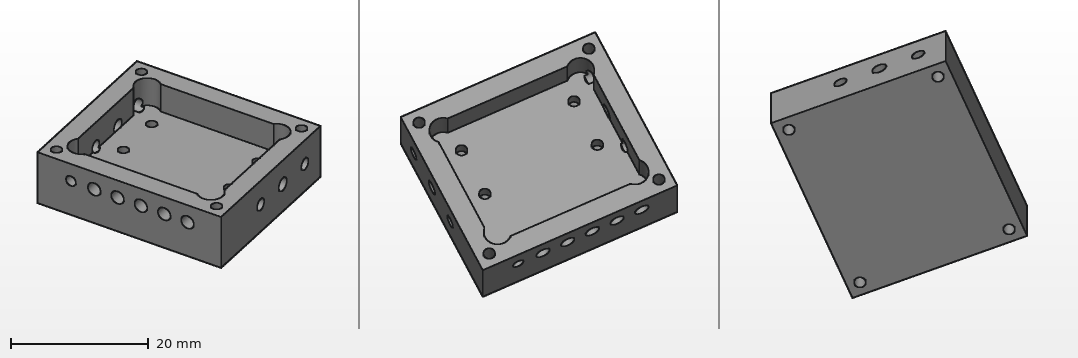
import cadquery as cq
import math

DRILL_TIP_ANGLE = 118.0

LENGTH = 31.4
WIDTH = 27.4
HEIGHT = 9.0

POCKET_LENGTH = 25.0
POCKET_WIDTH = 21.0
FLOOR = 4.18
RELIEF_RADIUS = 2.0

SCREW_HOLE_DIAMETER = 1.7
SCREW_HOLE_INSET = 2.0

PILOT_DIAMETER = 1.7
PILOT_DEPTH = 2.0
PILOT_SPACING = 18.15
PILOT_ROWS_Y = (-0.7, 7.1)

FRONT_HOLE_DIAMETER = 2.17
FRONT_END_HOLE_DIAMETER = 1.7
FRONT_HOLE_COUNT = 6
FRONT_HOLE_PITCH = 4.0
FRONT_HOLE_Z = 6.0

SIDE_HOLE_Z = 4.8
SIDE_MIDDLE_Y = 3.3
SIDE_HOLE_PITCH = 6.1
SIDE_MIDDLE_DIAMETER = 2.2
SIDE_OUTER_DIAMETER = 1.95
SIDE_OUTER_DEPTH = 3.5

SIDE_WALL = (LENGTH - POCKET_LENGTH) / 2
FRONT_WALL = (WIDTH - POCKET_WIDTH) / 2


def drill(diameter, depth, start, direction):
    """Cylinder that starts at a point and runs along a direction."""
    cylinder = cq.Solid.makeCylinder(diameter / 2, depth, cq.Vector(*start), cq.Vector(*direction))
    return cq.Workplane(cylinder)


def pocket():
    depth = HEIGHT - FLOOR
    relief_inset = RELIEF_RADIUS / math.sqrt(2)
    base = cq.Workplane("XY").workplane(offset=FLOOR)
    reliefs = (
        base.rect(POCKET_LENGTH - 2 * relief_inset, POCKET_WIDTH - 2 * relief_inset, forConstruction=True)
        .vertices()
        .circle(RELIEF_RADIUS)
        .extrude(depth)
    )
    return base.rect(POCKET_LENGTH, POCKET_WIDTH).extrude(depth).union(reliefs)


def screw_holes():
    return (
        cq.Workplane("XY")
        .rect(LENGTH - 2 * SCREW_HOLE_INSET, WIDTH - 2 * SCREW_HOLE_INSET, forConstruction=True)
        .vertices()
        .circle(SCREW_HOLE_DIAMETER / 2)
        .extrude(HEIGHT)
    )


def drill_with_tip(diameter, depth, start, direction):
    """Drilled hole: a cylinder of the given depth, then a conical tip."""
    radius = diameter / 2
    tip_length = radius / math.tan(math.radians(DRILL_TIP_ANGLE / 2))
    axis = cq.Vector(*direction)
    shoulder = cq.Vector(*start) + axis * depth
    tip = cq.Solid.makeCone(radius, 0, tip_length, shoulder, axis)
    return drill(diameter, depth, start, direction).union(cq.Workplane(tip))


result = cq.Workplane("XY").box(LENGTH, WIDTH, HEIGHT, centered=(True, True, False))
result = result.cut(pocket()).cut(screw_holes())

for pilot_x in (-PILOT_SPACING / 2, PILOT_SPACING / 2):
    for pilot_y in PILOT_ROWS_Y:
        start = (pilot_x, pilot_y, FLOOR)
        result = result.cut(drill_with_tip(PILOT_DIAMETER, PILOT_DEPTH, start, (0, 0, -1)))

for index in range(FRONT_HOLE_COUNT):
    hole_x = (index - (FRONT_HOLE_COUNT - 1) / 2) * FRONT_HOLE_PITCH
    diameter = FRONT_END_HOLE_DIAMETER if index == 0 else FRONT_HOLE_DIAMETER
    result = result.cut(drill(diameter, FRONT_WALL, (hole_x, -WIDTH / 2, FRONT_HOLE_Z), (0, 1, 0)))

for side in (-1, 1):
    for step in (-1, 0, 1):
        start = (side * LENGTH / 2, SIDE_MIDDLE_Y + step * SIDE_HOLE_PITCH, SIDE_HOLE_Z)
        inward = (-side, 0, 0)
        if step == 0:
            hole = drill(SIDE_MIDDLE_DIAMETER, SIDE_WALL, start, inward)
        else:
            hole = drill_with_tip(SIDE_OUTER_DIAMETER, SIDE_OUTER_DEPTH, start, inward)
        result = result.cut(hole)